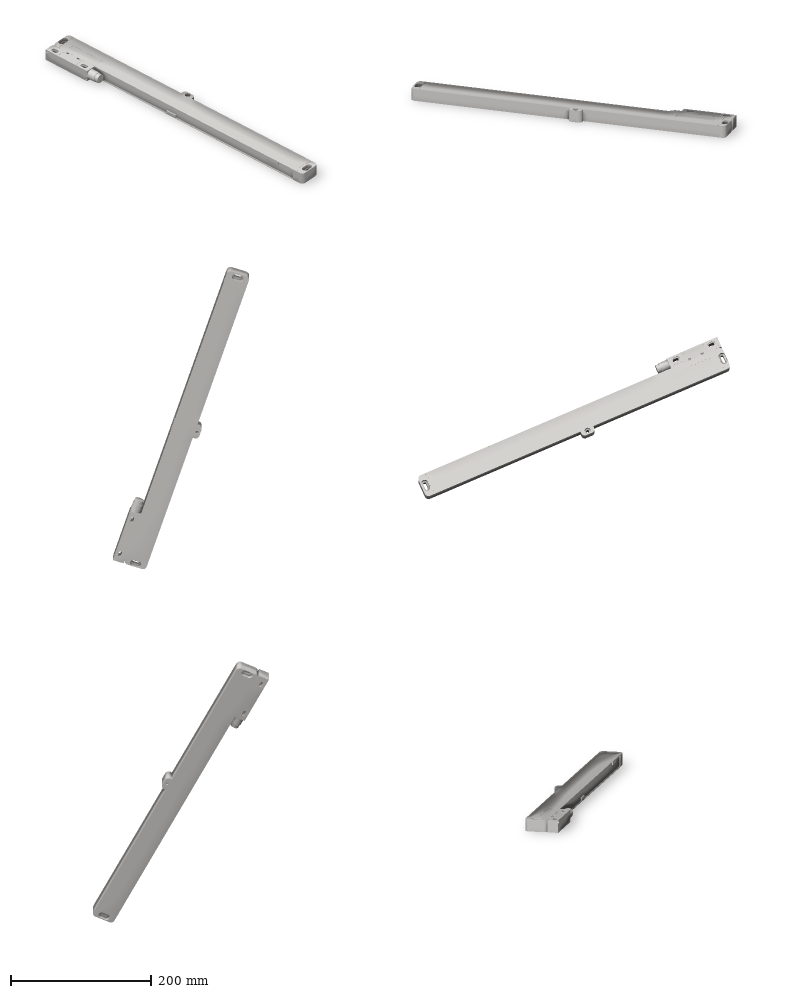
import cadquery as cq
LENGTH = 475.0
HEIGHT = 18.0
TOTAL_DEPTH = 57.0
MID_Z = HEIGHT / 2
SURFACE_STEP = 0.25
THIN_WALL = 0.25

HOUSING_FRONT = 15.5
HOUSING_BACK = 49.0
HOUSING_MID_Y = (HOUSING_FRONT + HOUSING_BACK) / 2
END_CORNER_RADIUS = 5.5

RECESS_DEPTH = 2.0
RIM_HEIGHT = 1.0
RECESS_LEFT = 17.5
RECESS_RIGHT = 457.0
TAB_LENGTH = 17.0
TAB_HEIGHT = 5.5
UPPER_TAB_X = 420.0

LEFT_CAP_LENGTH = 13.0
RIGHT_CAP_LENGTH = 14.2
SEAM_WIDTH = 1.5
CAP_FRONT_STEP = 0.1
SEAM_GROOVE_DEPTH = 0.5
SEAM_GROOVE_FRONT = 18.0
SEAM_STEP_BACK = 42.0

SLOT_STRAIGHT = 7.0
SLOT_HOLE_RADIUS = 2.15
SLOT_COUNTERBORE_RADIUS = 4.8
LEFT_SLOT_X = SLOT_COUNTERBORE_RADIUS + THIN_WALL
RIGHT_SLOT_X = LENGTH - 6.0
COUNTERBORE_DEPTH = 5.0

PLATE_LEFT = 23.0
PLATE_FRONT = 24.0
PLATE_LENGTH = 57.5
PLATE_WIDTH = 9.0

LUG_X = 224.5
LUG_LENGTH = 20.0
LUG_ROOT_Y = 47.5
LUG_CORNER_RADIUS = 5.0
LUG_HOLE_Y = 52.0
LUG_HOLE_RADIUS = 2.15
LUG_COUNTERBORE_RADIUS = 4.5

HEAD_LENGTH = 79.0
HEAD_BACK = HOUSING_FRONT
HEAD_TOP_BACK = 13.0
NOTCH_LENGTH = 4.5
NOTCH_DEPTH = 2.5
NOTCH_CENTERS = (29.5, 49.5)

HEAD_SLOT_CENTERS = (12.0, 67.5)
HEAD_SLOT_Y = 6.5
HEAD_SLOT_STRAIGHT = 4.5
HEAD_SLOT_RADIUS = 2.15
HEAD_SLOT_COUNTERBORE_RADIUS = 3.55
HEAD_SLOT_COUNTERBORE_DEPTH = 2.5

COVER_LEFT = 22.0
COVER_RIGHT = 57.5
COVER_GROOVE_WIDTH = 1.5
COVER_GROOVE_DEPTH = 0.35
PANEL_FRONT = 3.0
PANEL_CORNER_RADIUS = 1.5

PORT_RADIUS = 2.15
PORT_INSET = PORT_RADIUS + THIN_WALL
PORT_DROP = 3.0
PORT_DEPTH = 7.5

GLAND_RADIUS = 7.5
GLAND_LENGTH = 13.0
NUT_RADIUS = 6.5
NUT_LENGTH = 5.5
GLAND_Y = 7.5


def block(x0, x1, y0, y1, z0, z1):
    """Box between opposite corner coordinates."""
    return cq.Workplane("XY").box(x1 - x0, y1 - y0, z1 - z0, centered=False).translate((x0, y0, z0))


def slot_along(x, y, straight, radius, z0, z1, angle):
    """Vertical round-ended slot centred on x, y."""
    return (
        cq.Workplane("XY", origin=(x, y, z0))
        .slot2D(straight + 2 * radius, 2 * radius, angle)
        .extrude(z1 - z0)
    )


def disc(x, y, radius, z0, z1):
    """Vertical cylinder centred on x, y."""
    return cq.Workplane("XY", origin=(x, y, z0)).circle(radius).extrude(z1 - z0)


def front_recess():
    """Long recess of the front face, less the two tabs left standing in it."""
    back = HOUSING_FRONT + RECESS_DEPTH
    top = HEIGHT - RIM_HEIGHT
    recess = block(RECESS_LEFT, RECESS_RIGHT, HOUSING_FRONT, back, RIM_HEIGHT, top)
    half = TAB_LENGTH / 2
    lower_tab = block(LUG_X - half, LUG_X + half, HOUSING_FRONT, back, 0, TAB_HEIGHT)
    upper_tab = block(
        UPPER_TAB_X - half, UPPER_TAB_X + half, HOUSING_FRONT, back, HEIGHT - TAB_HEIGHT, HEIGHT
    )
    return recess.cut(lower_tab).cut(upper_tab)


def cap_seam(end_x, inward, cap_length):
    """Seam of one end cap; inward is +1 from the left end and -1 from the right end."""
    def span(near, far):
        return sorted((end_x + inward * near, end_x + inward * far))

    step_end = cap_length - SEAM_WIDTH
    groove_end = step_end - SEAM_WIDTH
    groove = block(
        *span(groove_end, step_end), SEAM_GROOVE_FRONT, HOUSING_BACK, HEIGHT - SEAM_GROOVE_DEPTH, HEIGHT
    )
    top_step = block(
        *span(step_end, cap_length), HOUSING_FRONT, SEAM_STEP_BACK, HEIGHT - SURFACE_STEP, HEIGHT
    )
    front_step = block(*span(0, cap_length), HOUSING_FRONT, HOUSING_FRONT + CAP_FRONT_STEP, 0, HEIGHT)
    return groove.union(top_step).union(front_step)


def cap_slot(x):
    """Through slot of one end cap with a counterbore on the top and bottom faces."""
    y = HOUSING_MID_Y
    hole = slot_along(x, y, SLOT_STRAIGHT, SLOT_HOLE_RADIUS, 0, HEIGHT, 90)
    lower = slot_along(x, y, SLOT_STRAIGHT, SLOT_COUNTERBORE_RADIUS, 0, COUNTERBORE_DEPTH, 90)
    upper = slot_along(x, y, SLOT_STRAIGHT, SLOT_COUNTERBORE_RADIUS, HEIGHT - COUNTERBORE_DEPTH, HEIGHT, 90)
    return hole.union(lower).union(upper)


def add_lug(body):
    """Back lug, its foot set slightly below the top face, with a counterbored hole."""
    left = LUG_X - LUG_LENGTH / 2
    right = LUG_X + LUG_LENGTH / 2
    lug_top = HEIGHT - SURFACE_STEP
    lug = block(left, right, LUG_ROOT_Y, TOTAL_DEPTH, 0, lug_top)
    lug = lug.edges("|Z and >Y").fillet(LUG_CORNER_RADIUS)
    foot_recess = block(left, right, LUG_ROOT_Y, HOUSING_BACK, lug_top, HEIGHT)
    hole = disc(LUG_X, LUG_HOLE_Y, LUG_HOLE_RADIUS, 0, HEIGHT)
    counterbore = disc(LUG_X, LUG_HOLE_Y, LUG_COUNTERBORE_RADIUS, HEIGHT - COUNTERBORE_DEPTH, HEIGHT)
    return body.union(lug).cut(foot_recess).cut(hole).cut(counterbore)


def make_housing():
    body = block(0, LENGTH, HOUSING_FRONT, HOUSING_BACK, 0, HEIGHT)
    body = body.edges("|Z").fillet(END_CORNER_RADIUS)
    body = body.cut(front_recess())
    body = body.cut(cap_seam(0, 1, LEFT_CAP_LENGTH))
    body = body.cut(cap_seam(LENGTH, -1, RIGHT_CAP_LENGTH))
    for x in (LEFT_SLOT_X, RIGHT_SLOT_X):
        body = body.cut(cap_slot(x))
    plate = block(
        PLATE_LEFT, PLATE_LEFT + PLATE_LENGTH,
        PLATE_FRONT, PLATE_FRONT + PLATE_WIDTH,
        HEIGHT - SURFACE_STEP, HEIGHT,
    )
    return add_lug(body.cut(plate))


def back_ledge():
    """Shallow step along the back of the head's top, with two deeper notches in it."""
    ledge = block(0, HEAD_LENGTH, HEAD_TOP_BACK, HEAD_BACK, HEIGHT - SURFACE_STEP, HEIGHT)
    half = NOTCH_LENGTH / 2
    for x in NOTCH_CENTERS:
        notch = block(x - half, x + half, HEAD_TOP_BACK, HEAD_BACK, HEIGHT - NOTCH_DEPTH, HEIGHT)
        ledge = ledge.union(notch)
    return ledge


def cover_marks():
    """Grooves at both ends of the head's cover and the rounded panel between them."""
    floor = HEIGHT - SURFACE_STEP
    panel_left = COVER_LEFT + COVER_GROOVE_WIDTH
    panel_right = COVER_RIGHT - COVER_GROOVE_WIDTH
    groove_floor = HEIGHT - COVER_GROOVE_DEPTH
    left_groove = block(COVER_LEFT, panel_left, 0, HEAD_TOP_BACK, groove_floor, HEIGHT)
    right_groove = block(panel_right, COVER_RIGHT, 0, HEAD_TOP_BACK, groove_floor, HEIGHT)
    panel = block(panel_left, panel_right, PANEL_FRONT, HEAD_TOP_BACK, floor, HEIGHT)
    panel = panel.edges("|Z").fillet(PANEL_CORNER_RADIUS)
    return left_groove.union(right_groove).union(panel)


def head_slot(x):
    """Through slot of the head with a counterbore on the top face."""
    hole = slot_along(x, HEAD_SLOT_Y, HEAD_SLOT_STRAIGHT, HEAD_SLOT_RADIUS, 0, HEIGHT, 0)
    counterbore = slot_along(
        x, HEAD_SLOT_Y, HEAD_SLOT_STRAIGHT, HEAD_SLOT_COUNTERBORE_RADIUS,
        HEIGHT - HEAD_SLOT_COUNTERBORE_DEPTH, HEIGHT, 0,
    )
    return hole.union(counterbore)


def corner_port(x, z):
    """Blind hole entering the front face, close beside an end face."""
    return cq.Workplane("XZ", origin=(x, 0, z)).circle(PORT_RADIUS).extrude(-PORT_DEPTH)


def cable_gland():
    """Two-step cylinder on the right end of the head."""
    root = cq.Workplane("YZ", origin=(HEAD_LENGTH, GLAND_Y, MID_Z))
    gland = root.circle(GLAND_RADIUS).extrude(GLAND_LENGTH)
    return gland.faces(">X").workplane().circle(NUT_RADIUS).extrude(NUT_LENGTH)


def make_reading_head():
    head = block(0, HEAD_LENGTH, 0, HEAD_BACK, 0, HEIGHT)
    head = head.cut(back_ledge()).cut(cover_marks())
    for x in HEAD_SLOT_CENTERS:
        head = head.cut(head_slot(x))
    head = head.cut(corner_port(PORT_INSET, HEIGHT - PORT_DROP))
    head = head.cut(corner_port(HEAD_LENGTH - PORT_INSET, PORT_DROP))
    return head.union(cable_gland())


housing = make_housing()
reading_head = make_reading_head()

result = cq.Compound.makeCompound([housing.val(), reading_head.val()])